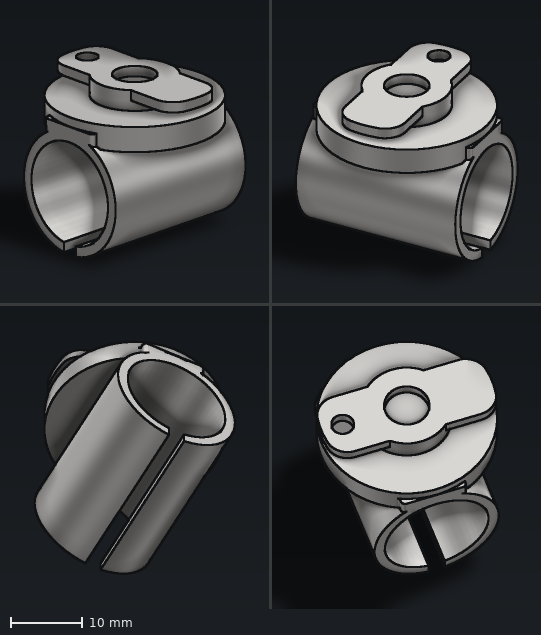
import cadquery as cq

wall = 1.55
tube_length = 25.45
bore_radius = 7.7
tube_radius = bore_radius + wall
slot_width = 2.4

disc_diameter = 25.4
disc_thickness = 3.77
disc_bottom = bore_radius
disc_top = disc_bottom + disc_thickness

hub_diameter = disc_diameter / 2
lever_thickness = wall
lever_gap = wall
lever_bottom = disc_top + lever_gap
hub_height = lever_gap + lever_thickness
lever_width = 9.57
lever_corner_radius = 3.18

recess_diameter = 6.35
recess_depth = wall
pin_hole_diameter = 3.18
pin_hole_x = -9.55

pad_center_x = -0.3
pad_drop = 1.42
pad_bottom = disc_bottom
pad_top = disc_top - pad_drop
pad_flat_half = 4.17
pad_side_half = 4.8
pad_flare_half = 5.15
pad_corner_depth = 0.69
pad_depth = 1.27


def cylinder(diameter, bottom, height, x=0):
    """Upright cylinder with its axis on the XZ plane."""
    return cq.Workplane("XY", origin=(x, 0, bottom)).circle(diameter / 2).extrude(height)


def y_cylinder(radius):
    """Cylinder along Y over the whole tube length."""
    return cq.Workplane("XZ").circle(radius).extrude(tube_length / 2, both=True)


def make_lever():
    """Crossbar with ends following the disc rim and rounded corners."""
    bar = cq.Workplane("XY", origin=(0, 0, lever_bottom)).rect(disc_diameter, lever_width)
    bar = bar.extrude(lever_thickness)
    bar = bar.intersect(cylinder(disc_diameter, lever_bottom, lever_thickness))
    return bar.edges("|Z").fillet(lever_corner_radius)


def make_pad():
    """Pad at the -Y end: rounded outer corners, then sides flaring into the disc."""
    end_y = -tube_length / 2
    side_y = end_y + pad_corner_depth
    root_y = end_y + pad_depth
    half_pad = (
        cq.Workplane("XY", origin=(0, 0, pad_bottom))
        .moveTo(0, end_y)
        .lineTo(pad_flat_half, end_y)
        .tangentArcPoint((pad_side_half, side_y), relative=False)
        .tangentArcPoint((pad_flare_half, root_y), relative=False)
        .lineTo(0, root_y)
        .close()
        .extrude(pad_top - pad_bottom)
    )
    pad = half_pad.union(half_pad.mirror("YZ"))
    return pad.translate((pad_center_x, 0, 0))


def make_slot():
    """Opening along the bottom of the tube."""
    return cq.Workplane("XY").rect(slot_width, tube_length).extrude(-tube_radius)


pad = make_pad()
pads = pad.union(pad.mirror("XZ"))
body = (
    y_cylinder(tube_radius)
    .union(cylinder(disc_diameter, disc_bottom, disc_thickness))
    .union(pads)
)
body = body.cut(y_cylinder(bore_radius)).cut(make_slot())

lever = cylinder(hub_diameter, disc_top, hub_height).union(make_lever())
lever_top = lever_bottom + lever_thickness
lever = lever.cut(cylinder(recess_diameter, lever_top - recess_depth, recess_depth))
lever = lever.cut(cylinder(pin_hole_diameter, lever_bottom, lever_thickness, pin_hole_x))

result = body.union(lever)